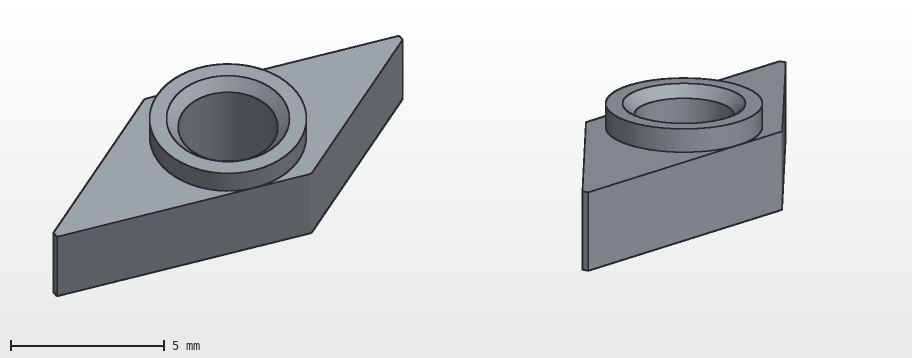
import cadquery as cq
import math

body_width = 5.1
body_length = 13.72
body_height = 2.7
total_height = 3.5
tip_angle = 45.0
tip_flat_width = 0.212
tip_flat_angle = 16.0
obtuse_corner_radius = 0.2

collar_diameter = body_width
bore_diameter = 3.24
countersink_diameter = 4.0

half_width = body_width / 2
tip_outer_x = half_width - tip_flat_width
tip_outer_y = body_length / 2
tip_flank_y = tip_outer_y - tip_flat_width * math.tan(math.radians(tip_flat_angle))
slanted_edge_run = body_width - tip_flat_width
countersink_depth = (countersink_diameter - bore_diameter) / 2
obtuse_corner_y = tip_outer_y - slanted_edge_run / math.tan(math.radians(tip_angle))


def make_body():
    """Parallelogram plate with flattened acute tips and rounded obtuse corners."""
    outline = [
        (-half_width, tip_flank_y),
        (-tip_outer_x, tip_outer_y),
        (half_width, obtuse_corner_y),
        (half_width, -tip_flank_y),
        (tip_outer_x, -tip_outer_y),
        (-half_width, -obtuse_corner_y),
    ]
    plate = cq.Workplane("XY").polyline(outline).close().extrude(body_height)
    for side in (-1, 1):
        obtuse_corner = (side * half_width, side * obtuse_corner_y, body_height / 2)
        corner_edge = plate.edges(cq.NearestToPointSelector(obtuse_corner))
        plate = corner_edge.fillet(obtuse_corner_radius)
    return plate


def make_collar():
    """Round collar standing on the top face of the plate."""
    collar_height = total_height - body_height
    return (
        cq.Workplane("XY")
        .workplane(offset=body_height)
        .circle(collar_diameter / 2)
        .extrude(collar_height)
    )


def cut_bore(part):
    """Through bore with a conical countersink at the collar rim."""
    bore_radius = bore_diameter / 2
    bore = cq.Workplane("XY").circle(bore_radius).extrude(total_height)
    countersink = (
        cq.Workplane("XY")
        .workplane(offset=total_height - countersink_depth)
        .circle(bore_radius)
        .workplane(offset=countersink_depth)
        .circle(countersink_diameter / 2)
        .loft()
    )
    return part.cut(bore).cut(countersink)


result = cut_bore(make_body().union(make_collar()))